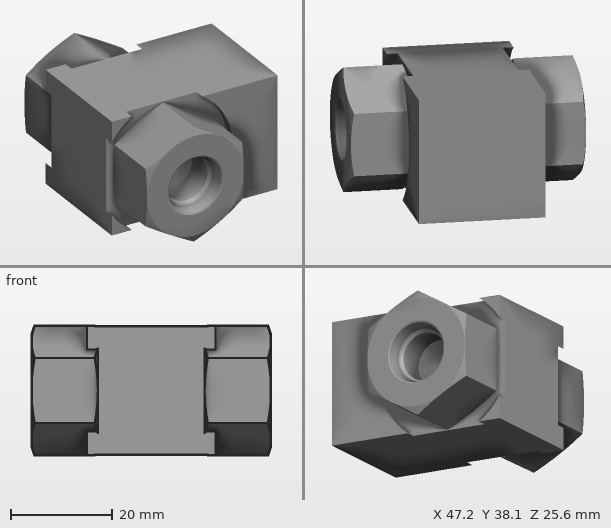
import cadquery as cq
import math

overall_length = 47.25
block_width = 25.4
block_height = block_width
block_depth = 38.1
block_front = -block_width / 2

recess_diameter = 30.15
recess_depth = 2.15
recess_floor = block_width / 2 - recess_depth

hex_across_flats = 22.2
hex_across_corners = hex_across_flats / math.cos(math.radians(30))
hex_length = overall_length / 2 - recess_floor
corner_radius = hex_across_corners / 2
flat_radius = hex_across_flats / 2
corner_setback = 0.6

entry_diameter = 12.85
seat_diameter = 12.25
seat_end_diameter = 11.1
drill_diameter = 9.75
entry_chamfer_depth = 0.15
seat_half_angle = 12.0
drill_tip_angle = 118.0
drill_depth = 9.45
seat_length = (seat_diameter - seat_end_diameter) / 2 / math.tan(math.radians(seat_half_angle))
step_length = (seat_end_diameter - drill_diameter) / 2
seat_start = entry_chamfer_depth
seat_end = seat_start + seat_length
step_end = seat_end + step_length
tip_depth = drill_depth + drill_diameter / 2 / math.tan(math.radians(drill_tip_angle / 2))


def make_block():
    """Solid block with a round recess in both X sides."""
    block = cq.Workplane("XY").box(block_width, block_depth, block_height)
    block = block.translate((0, block_front + block_depth / 2, 0))
    for side in (-1, 1):
        recess = (
            cq.Workplane("YZ", origin=(side * recess_floor, 0, 0))
            .circle(recess_diameter / 2)
            .extrude(side * recess_depth)
        )
        block = block.cut(recess)
    return block


def revolve_about_x(points):
    """Turn a closed outline of (x, radius) points into a solid about the X axis."""
    return cq.Workplane("XY").polyline(points).close().revolve(360, (0, 0, 0), (1, 0, 0))


def make_hexagon():
    """Hexagonal bar from x = 0, corners up and down, with its corners turned off at both ends."""
    hexagon = (
        cq.Workplane("YZ")
        .polygon(6, hex_across_corners)
        .extrude(hex_length)
        .rotate((0, 0, 0), (1, 0, 0), 90)
    )
    turned_envelope = revolve_about_x([
        (0, 0),
        (0, flat_radius),
        (corner_setback, corner_radius),
        (hex_length - corner_setback, corner_radius),
        (hex_length, flat_radius),
        (hex_length, 0),
    ])
    return hexagon.intersect(turned_envelope)


def make_port():
    """Cutter for the blind port, entering at x = 0 and running toward +X."""
    return revolve_about_x([
        (0, 0),
        (0, entry_diameter / 2),
        (seat_start, seat_diameter / 2),
        (seat_end, seat_end_diameter / 2),
        (step_end, drill_diameter / 2),
        (drill_depth, drill_diameter / 2),
        (tip_depth, 0),
    ])


def make_fitting(turn):
    """Fitting on the -X side, turned about Z by the given angle to reach its own side."""
    fitting = make_hexagon().cut(make_port())
    fitting = fitting.translate((-overall_length / 2, 0, 0))
    return fitting.rotate((0, 0, 0), (0, 0, 1), turn)


block = make_block()
fittings = [make_fitting(turn) for turn in (0, 180)]

result = cq.Compound.makeCompound([block.val(), *[fitting.val() for fitting in fittings]])